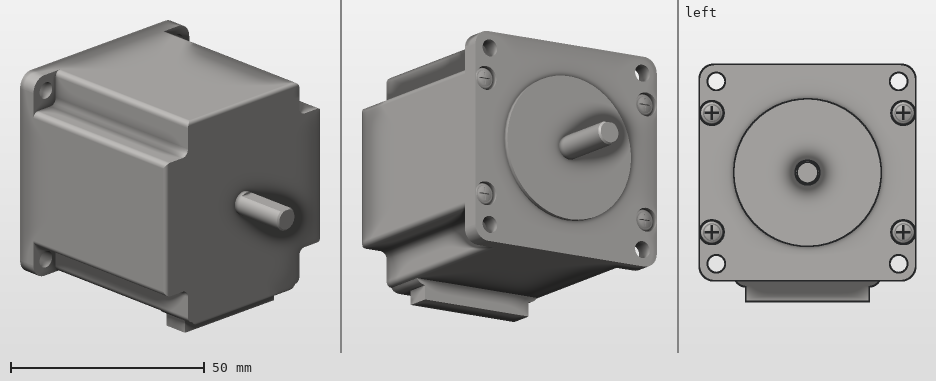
import cadquery as cq
import math


SHAFT_LENGTH = 90.6
PILOT_FRONT = 19.0
FLANGE_FRONT = 20.5
FLANGE_BACK = 25.5
REAR_CAP_FRONT = 62.5
BODY_BACK = 74.6

SHAFT_DIAMETER = 6.3
SHAFT_CHAMFER = 0.45
FLAT_HEIGHT = 2.6
FLAT_LENGTH = 14.9

FRAME_SIZE = 56.0
FRAME_HALF = FRAME_SIZE / 2
OVERALL_HEIGHT = 61.3
FLANGE_CORNER_RADIUS = 3.9
PILOT_DIAMETER = 38.1
MOUNT_HOLE_OFFSET = 23.6
MOUNT_HOLE_DIAMETER = 4.5

NOTCH_WALL_Y = 20.0
NOTCH_SHELF_Z = 18.7
NOTCH_OUTER_RADIUS = 1.5
NOTCH_INNER_RADIUS = 1.9
BACK_ROUND = 1.0

BULGE_HALF_WIDTH = 19.0
BULGE_RADIUS = 3.3
BULGE_BOTTOM = -29.5
CONNECTOR_LENGTH = 6.8
CONNECTOR_WIDTH = 32.0
CONNECTOR_BOTTOM = FRAME_HALF - OVERALL_HEIGHT

SCREW_Y = 24.7
SCREW_Z = 15.4
SCREW_RECESS_RADIUS = 3.2
SCREW_RECESS_DEPTH = 2.45
HEAD_RADIUS = 3.0
HEAD_CROWN_RADIUS = 2.2
HEAD_EDGE_HEIGHT = 1.0
HEAD_CROWN_HEIGHT = 1.7
HEAD_HEIGHT = 2.1
CROSS_LENGTH = 3.3
CROSS_WIDTH = 0.3
CROSS_DEPTH = 0.7


def section(x):
    """Sketch plane across the shaft at x, with local x along Y and local y along Z."""
    return cq.Workplane("YZ", origin=(x, 0, 0))


def block(x_range, y_range, z_range):
    """Axis-aligned box given by its limits."""
    lows, highs = zip(x_range, y_range, z_range)
    sizes = [high - low for low, high in zip(lows, highs)]
    return cq.Workplane("XY").box(*sizes, centered=False).translate(lows)


def make_shaft():
    shaft = section(0).circle(SHAFT_DIAMETER / 2).extrude(SHAFT_LENGTH)
    shaft = shaft.faces("<X or >X").chamfer(SHAFT_CHAMFER)
    across = (-SHAFT_DIAMETER, SHAFT_DIAMETER)
    above_flat = (FLAT_HEIGHT, SHAFT_DIAMETER)
    for flat_span in ((0, FLAT_LENGTH), (SHAFT_LENGTH - FLAT_LENGTH, SHAFT_LENGTH)):
        shaft = shaft.cut(block(flat_span, across, above_flat))
    return shaft


def make_flange():
    flange = section(FLANGE_FRONT).rect(FRAME_SIZE, FRAME_SIZE).extrude(FLANGE_BACK - FLANGE_FRONT)
    flange = flange.edges("|X").fillet(FLANGE_CORNER_RADIUS)
    hole_spacing = 2 * MOUNT_HOLE_OFFSET
    holes = (
        section(FLANGE_FRONT)
        .rect(hole_spacing, hole_spacing, forConstruction=True)
        .vertices()
        .circle(MOUNT_HOLE_DIAMETER / 2)
        .extrude(FLANGE_BACK - FLANGE_FRONT)
    )
    pilot = section(PILOT_FRONT).circle(PILOT_DIAMETER / 2).extrude(FLANGE_FRONT - PILOT_FRONT)
    return flange.cut(holes).union(pilot)


def make_cross_body():
    """Body with stepped corners: two crossed slabs, blended where they meet."""
    length = BODY_BACK - FLANGE_BACK
    upright = section(FLANGE_BACK).rect(2 * NOTCH_WALL_Y, FRAME_SIZE).extrude(length)
    upright = upright.edges("|X").fillet(NOTCH_OUTER_RADIUS)
    wide = section(FLANGE_BACK).rect(FRAME_SIZE, 2 * NOTCH_SHELF_Z).extrude(length)
    wide = wide.edges("|X").fillet(NOTCH_OUTER_RADIUS)
    half_y = NOTCH_WALL_Y + NOTCH_OUTER_RADIUS
    half_z = NOTCH_SHELF_Z + NOTCH_OUTER_RADIUS
    inner_corners = cq.selectors.BoxSelector(
        (FLANGE_BACK, -half_y, -half_z),
        (BODY_BACK, half_y, half_z),
    )
    return upright.union(wide).edges("|X").edges(inner_corners).fillet(NOTCH_INNER_RADIUS)


def make_bulge():
    bulge = block(
        (REAR_CAP_FRONT, BODY_BACK),
        (-BULGE_HALF_WIDTH, BULGE_HALF_WIDTH),
        (BULGE_BOTTOM, 0),
    )
    return bulge.edges("|X and <Z").fillet(BULGE_RADIUS)


def make_body():
    """Body and bulge, with the back edges of all four sides rounded."""
    envelope_y = block(
        (FLANGE_BACK, BODY_BACK), (-FRAME_HALF, FRAME_HALF), (-FRAME_SIZE, FRAME_SIZE)
    )
    envelope_y = envelope_y.edges(">X and |Z").fillet(BACK_ROUND)
    envelope_z = block(
        (FLANGE_BACK, BODY_BACK), (-FRAME_SIZE, FRAME_SIZE), (BULGE_BOTTOM, FRAME_HALF)
    )
    envelope_z = envelope_z.edges(">X and |Y").fillet(BACK_ROUND)
    return make_cross_body().union(make_bulge()).intersect(envelope_y).intersect(envelope_z)


def make_connector():
    return block(
        (REAR_CAP_FRONT, REAR_CAP_FRONT + CONNECTOR_LENGTH),
        (-CONNECTOR_WIDTH / 2, CONNECTOR_WIDTH / 2),
        (CONNECTOR_BOTTOM, -NOTCH_SHELF_Z),
    )


def make_screw_head():
    """Domed cross-slot head on the X axis, seated at X = 0 and facing -X."""
    edge_drop = HEAD_CROWN_HEIGHT - HEAD_EDGE_HEIGHT
    edge_reach = HEAD_RADIUS - HEAD_CROWN_RADIUS
    edge_middle = (
        -HEAD_EDGE_HEIGHT - edge_drop * math.sin(math.pi / 4),
        HEAD_CROWN_RADIUS + edge_reach * math.cos(math.pi / 4),
    )
    crown_rise = HEAD_HEIGHT - HEAD_CROWN_HEIGHT
    crown_middle = (-HEAD_HEIGHT + crown_rise / 4, HEAD_CROWN_RADIUS / 2)
    head = (
        cq.Workplane("XY")
        .lineTo(0, HEAD_RADIUS)
        .lineTo(-HEAD_EDGE_HEIGHT, HEAD_RADIUS)
        .threePointArc(edge_middle, (-HEAD_CROWN_HEIGHT, HEAD_CROWN_RADIUS))
        .threePointArc(crown_middle, (-HEAD_HEIGHT, 0))
        .close()
        .revolve(360, (0, 0, 0), (1, 0, 0))
    )
    for width, height in ((CROSS_LENGTH, CROSS_WIDTH), (CROSS_WIDTH, CROSS_LENGTH)):
        head = head.cut(section(-HEAD_HEIGHT).rect(width, height).extrude(CROSS_DEPTH))
    return head


def add_screws(motor):
    head = make_screw_head()
    seat = FLANGE_FRONT + SCREW_RECESS_DEPTH
    for y in (-SCREW_Y, SCREW_Y):
        for z in (-SCREW_Z, SCREW_Z):
            recess = section(FLANGE_FRONT).center(y, z).circle(SCREW_RECESS_RADIUS)
            motor = motor.cut(recess.extrude(SCREW_RECESS_DEPTH))
            motor = motor.union(head.translate((seat, y, z)))
    return motor


motor = make_flange().union(make_body()).union(make_connector()).union(make_shaft())
result = add_screws(motor)